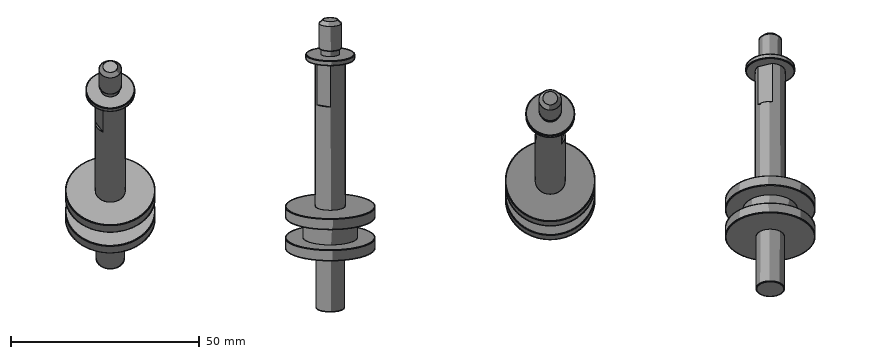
import cadquery as cq

lower_shaft_diameter = 7.6
flange_diameter = 23.9
hub_diameter = 14.5
main_shaft_diameter = 8.0
collar_diameter = 13.0
neck_diameter = 5.0
tip_diameter = 6.0

total_length = 79.85
lower_shaft_length = 16.5
flange_thickness = 3.1
hub_length = 5.5
main_shaft_length = 40.65
collar_thickness = 1.4
neck_length = 1.5

shaft_end_chamfer = 0.2
flange_chamfer = 0.2
collar_chamfer = 0.2
tip_chamfer = 1.0
tip_base_chamfer = 0.2

flat_length = 12.05
across_flats = 6.9

lower_flange_base = lower_shaft_length
hub_base = lower_flange_base + flange_thickness
upper_flange_base = hub_base + hub_length
main_shaft_base = upper_flange_base + flange_thickness
collar_base = main_shaft_base + main_shaft_length
neck_base = collar_base + collar_thickness
tip_base = neck_base + neck_length
tip_length = total_length - tip_base


def cylinder(diameter, base, length):
    """Cylinder on the spindle axis, starting at height base."""
    return cq.Workplane("XY").workplane(offset=base).circle(diameter / 2).extrude(length)


def flange(base):
    """Pulley flange with both rims broken."""
    return cylinder(flange_diameter, base, flange_thickness).edges().chamfer(flange_chamfer)


def flat_cutter(side):
    """Block that removes one wrench flat on the +Y (1) or -Y (-1) side."""
    depth = main_shaft_diameter / 2
    return (
        cq.Workplane("XY")
        .box(main_shaft_diameter, depth, flat_length, centered=(True, True, False))
        .translate((0, side * (across_flats + depth) / 2, collar_base - flat_length))
    )


lower_shaft = (
    cylinder(lower_shaft_diameter, 0, lower_shaft_length)
    .faces("<Z").edges().chamfer(shaft_end_chamfer)
)
hub = cylinder(hub_diameter, hub_base, hub_length)

main_shaft = cylinder(main_shaft_diameter, main_shaft_base, main_shaft_length)
for side in (-1, 1):
    main_shaft = main_shaft.cut(flat_cutter(side))

collar = cylinder(collar_diameter, collar_base, collar_thickness).edges().chamfer(collar_chamfer)
neck = cylinder(neck_diameter, neck_base, neck_length)
tip = (
    cylinder(tip_diameter, tip_base, tip_length)
    .faces(">Z").edges().chamfer(tip_chamfer)
    .faces("<Z").edges().chamfer(tip_base_chamfer)
)

result = lower_shaft
for section in (
    flange(lower_flange_base),
    hub,
    flange(upper_flange_base),
    main_shaft,
    collar,
    neck,
    tip,
):
    result = result.union(section)